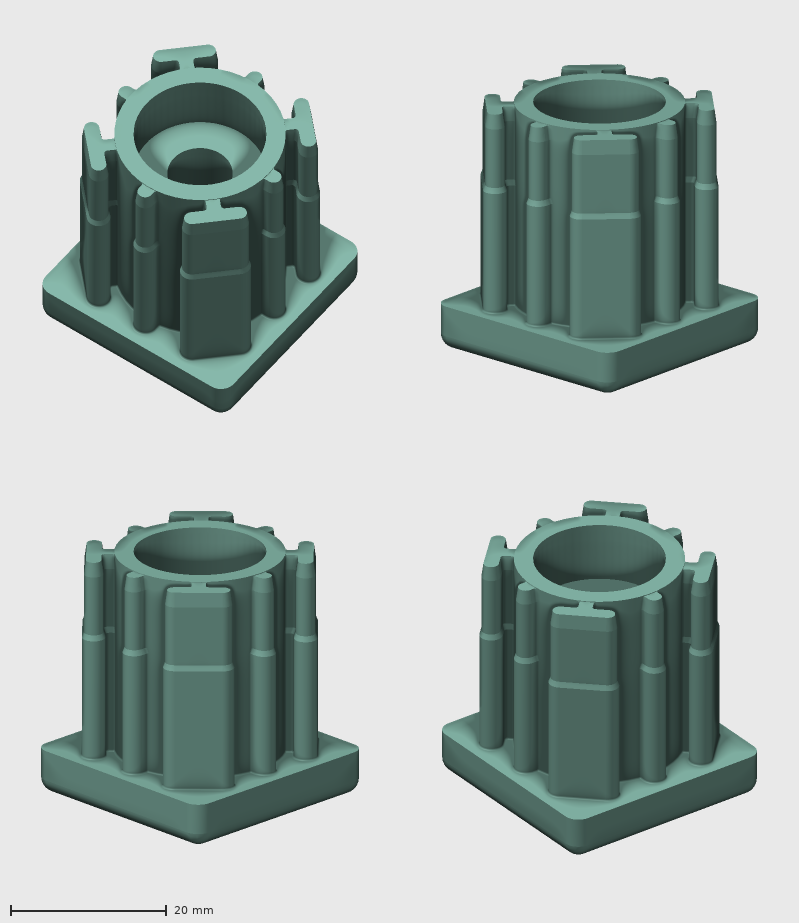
import cadquery as cq
import math

plate_side = 30.0
plate_height = 6.0
plate_corner_radius = 2.0
plate_bottom_fillet = 1.98

total_height = 33.0
tube_radius = 11.0
bore_radius = 8.5
bore_depth = 8.0
hole_radius = 4.2

rib_top = 32.9
tip_start = 31.0
step_top = 23.05
step_bottom = 22.3
step_inset = 0.25
tip_inset = 0.25
rib_reach = 13.3
rib_half_width = 1.52
web_half_width = 1.45
pad_half_span = 3.07
joint_fillet = 0.25
web_fillet = 0.45
base_fillet = 0.248

rib_levels = [
    (plate_height, 0),
    (step_bottom, 0),
    (step_top, step_inset),
    (tip_start, step_inset),
    (rib_top, step_inset + tip_inset),
]

rib_end_centre = rib_reach - rib_half_width
pad_centre = math.sqrt(2) * rib_end_centre - pad_half_span


def mirrored(point):
    return (-point[0], point[1])


def tube_joint(half_width):
    """Start, middle and end of the fillet arc from the tube to a wall at x = half_width."""
    centre_x = half_width + joint_fillet
    centre_distance = tube_radius + joint_fillet
    centre_y = math.sqrt(centre_distance**2 - centre_x**2)
    tube_share = tube_radius / centre_distance
    on_tube = (centre_x * tube_share, centre_y * tube_share)
    on_wall = (half_width, centre_y)
    middle_angle = (math.atan2(-centre_y, -centre_x) - math.pi) / 2
    middle = (
        centre_x + joint_fillet * math.cos(middle_angle),
        centre_y + joint_fillet * math.sin(middle_angle),
    )
    return on_tube, middle, on_wall


def straight_rib_outline(height, inset):
    """Round-ended rib that points along +Y."""
    half_width = rib_half_width - inset
    on_tube, middle, on_wall = tube_joint(half_width)
    end = (half_width, rib_end_centre)
    return (
        cq.Workplane("XY", origin=(0, 0, height))
        .moveTo(*on_tube)
        .threePointArc(middle, on_wall)
        .lineTo(*end)
        .threePointArc((0, rib_end_centre + half_width), mirrored(end))
        .lineTo(*mirrored(on_wall))
        .threePointArc(mirrored(middle), mirrored(on_tube))
        .close()
    )


def corner_rib_outline(height, inset):
    """T-shaped rib that points along +Y: a web that carries a round-ended pad."""
    half_width = web_half_width - inset
    end_radius = rib_half_width - inset
    on_tube, middle, on_wall = tube_joint(half_width)
    pad_inner = pad_centre - end_radius
    pad_outer = pad_centre + end_radius
    diagonal = web_fillet * (1 - math.sqrt(0.5))
    web_end = (half_width, pad_inner - web_fillet)
    web_middle = (half_width + diagonal, pad_inner - diagonal)
    pad_start = (half_width + web_fillet, pad_inner)
    inner_end = (pad_half_span, pad_inner)
    tip = (pad_half_span + end_radius, pad_centre)
    outer_end = (pad_half_span, pad_outer)
    return (
        cq.Workplane("XY", origin=(0, 0, height))
        .moveTo(*on_tube)
        .threePointArc(middle, on_wall)
        .lineTo(*web_end)
        .threePointArc(web_middle, pad_start)
        .lineTo(*inner_end)
        .threePointArc(tip, outer_end)
        .lineTo(*mirrored(outer_end))
        .threePointArc(mirrored(tip), mirrored(inner_end))
        .lineTo(*mirrored(pad_start))
        .threePointArc(mirrored(web_middle), mirrored(web_end))
        .lineTo(*mirrored(on_wall))
        .threePointArc(mirrored(middle), mirrored(on_tube))
        .close()
    )


def make_rib(outline):
    """Stack ruled lofts between the outlines at successive levels."""
    wires = [outline(height, inset).val() for height, inset in rib_levels]
    rib = cq.Workplane("XY")
    for lower, upper in zip(wires, wires[1:]):
        rib = rib.union(cq.Workplane(cq.Solid.makeLoft([lower, upper], True)))
    return rib


def make_plate():
    return (
        cq.Workplane("XY")
        .rect(plate_side, plate_side)
        .extrude(plate_height)
        .edges("|Z")
        .fillet(plate_corner_radius)
        .faces("<Z")
        .edges()
        .fillet(plate_bottom_fillet)
    )


tube = cq.Workplane("XY").circle(tube_radius).extrude(total_height)
body = make_plate().union(tube)
straight_rib = make_rib(straight_rib_outline)
corner_rib = make_rib(corner_rib_outline)
axis = (0, 0, 1)
for quarter_turn in (0, 90, 180, 270):
    body = body.union(straight_rib.rotate((0, 0, 0), axis, quarter_turn))
    body = body.union(corner_rib.rotate((0, 0, 0), axis, quarter_turn + 45))

foot_limit = rib_reach + base_fillet
foot_edges = cq.selectors.BoxSelector(
    (-foot_limit, -foot_limit, plate_height - base_fillet),
    (foot_limit, foot_limit, plate_height + base_fillet),
)
body = body.edges(foot_edges).fillet(base_fillet)

bore = cq.Workplane("XY", origin=(0, 0, total_height - bore_depth)).circle(bore_radius).extrude(bore_depth)
hole = cq.Workplane("XY").circle(hole_radius).extrude(total_height)
result = body.cut(bore).cut(hole)